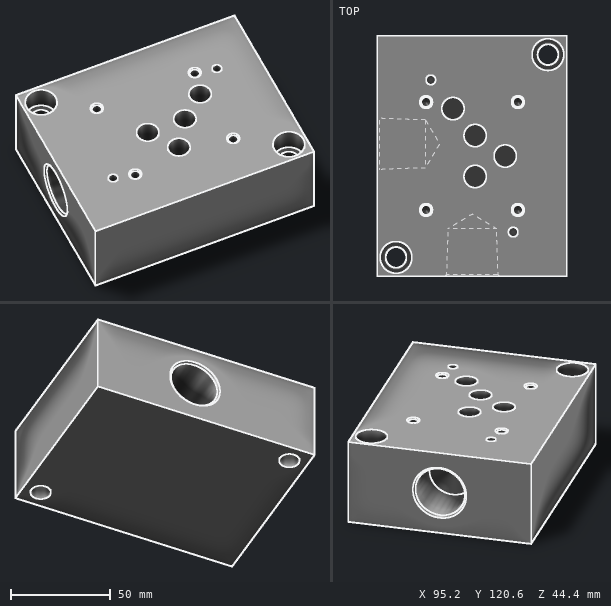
import cadquery as cq
import math

LENGTH_X = 95.2
LENGTH_Y = 120.6
HEIGHT = 44.4
DRILL_POINT_ANGLE = 118.0

MOUNT_EDGE_DISTANCE = 9.5
MOUNT_DIAMETER = 10.3
COUNTERBORE_DIAMETER = 15.9
COUNTERBORE_DEPTH = 12.7

BOLT_SPACING_X = 46.0
BOLT_SPACING_Y = 54.0
BOLT_DIAMETER = 5.0
BOLT_RIM_DIAMETER = 6.4
BOLT_DEPTH = 16.9

VALVE_PORT_DIAMETER = 11.2
VALVE_PORT_DEPTH = HEIGHT / 2
PRESSURE_PORT_X = 16.6
WORK_PORT_X = 1.6
WORK_PORT_Y = 10.3
TANK_PORT_X = -9.5
TANK_PORT_Y = 23.8

PIN_X = 20.6
PIN_Y = 38.1
PIN_DIAMETER = 4.8
PIN_DEPTH = 6.0

SIDE_PORT_RIM_DIAMETER = 27.9
SIDE_PORT_MOUTH_DIAMETER = 25.7
SIDE_PORT_END_DIAMETER = 24.1
SIDE_PORT_DEPTH = 24.1
SIDE_PORT_HEIGHT = 22.3
SIDE_PORT_A_Y = 6.3
SIDE_PORT_B_X = 0.0


def drilled_cutter(rim_diameter, mouth_diameter, end_diameter, depth):
    """Hole with a 45 degree rim chamfer and a drill point, opening at Z = 0 and running down."""
    rim_radius = rim_diameter / 2
    mouth_radius = mouth_diameter / 2
    end_radius = end_diameter / 2
    chamfer_depth = rim_radius - mouth_radius
    point_length = end_radius / math.tan(math.radians(DRILL_POINT_ANGLE / 2))
    profile = [
        (0, 0),
        (rim_radius, 0),
        (mouth_radius, -chamfer_depth),
        (end_radius, -depth),
        (0, -depth - point_length),
    ]
    return cq.Workplane("XZ").polyline(profile).close().revolve(360, (0, 0), (0, 1))


def top_face(body):
    return body.faces(">Z").workplane(origin=(0, 0, HEIGHT))


def cut_mounting_holes(body):
    mount_x = LENGTH_X / 2 - MOUNT_EDGE_DISTANCE
    mount_y = LENGTH_Y / 2 - MOUNT_EDGE_DISTANCE
    corners = [(mount_x, mount_y), (-mount_x, -mount_y)]
    return top_face(body).pushPoints(corners).cboreHole(
        MOUNT_DIAMETER, COUNTERBORE_DIAMETER, COUNTERBORE_DEPTH
    )


def cut_flat_holes(body, centres, diameter, depth):
    return top_face(body).pushPoints(centres).hole(diameter, depth)


def cut_bolt_holes(body):
    cutter = drilled_cutter(BOLT_RIM_DIAMETER, BOLT_DIAMETER, BOLT_DIAMETER, BOLT_DEPTH)
    for x in (-BOLT_SPACING_X / 2, BOLT_SPACING_X / 2):
        for y in (-BOLT_SPACING_Y / 2, BOLT_SPACING_Y / 2):
            body = body.cut(cutter.translate((x, y, HEIGHT)))
    return body


def cut_side_ports(body):
    cutter = drilled_cutter(
        SIDE_PORT_RIM_DIAMETER, SIDE_PORT_MOUTH_DIAMETER, SIDE_PORT_END_DIAMETER, SIDE_PORT_DEPTH
    )
    port_a = cutter.rotate((0, 0, 0), (0, 1, 0), -90)
    port_b = cutter.rotate((0, 0, 0), (1, 0, 0), 90)
    body = body.cut(port_a.translate((-LENGTH_X / 2, SIDE_PORT_A_Y, SIDE_PORT_HEIGHT)))
    return body.cut(port_b.translate((SIDE_PORT_B_X, -LENGTH_Y / 2, SIDE_PORT_HEIGHT)))


valve_ports = [
    (PRESSURE_PORT_X, 0),
    (WORK_PORT_X, WORK_PORT_Y),
    (WORK_PORT_X, -WORK_PORT_Y),
    (TANK_PORT_X, TANK_PORT_Y),
]
pin_holes = [(-PIN_X, PIN_Y), (PIN_X, -PIN_Y)]

block = cq.Workplane("XY").box(LENGTH_X, LENGTH_Y, HEIGHT, centered=(True, True, False))
block = cut_mounting_holes(block)
block = cut_flat_holes(block, valve_ports, VALVE_PORT_DIAMETER, VALVE_PORT_DEPTH)
block = cut_flat_holes(block, pin_holes, PIN_DIAMETER, PIN_DEPTH)
block = cut_bolt_holes(block)
result = cut_side_ports(block)